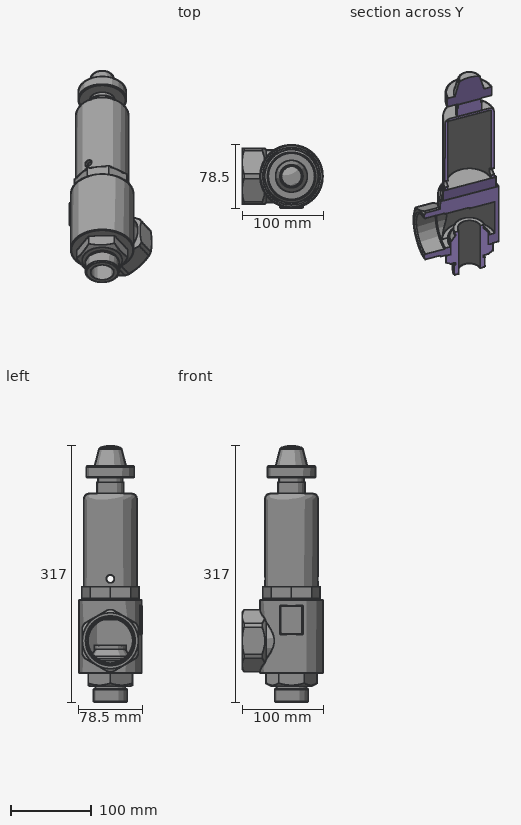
import cadquery as cq
import math


HEX_SIDES = 6
CHAMFER_ANGLE = 45

THREAD_RADIUS = 21.0
THREAD_TOP = 16.8
THREAD_BOTTOM_CHAMFER = 1.5
THREAD_TOP_CHAMFER = 1.0
UNDERCUT_RADIUS = 18.7
INLET_HEX_RADIUS = 31.7
INLET_HEX_BOTTOM = 19.5
INLET_HEX_FACE_RADIUS = 24.7
HEX_BEVEL_ANGLE = 30
SHANK_RADIUS = 25.5
COLLAR_RADIUS = 27.0
COLLAR_TOP = 54.0
SEAT_CONE_BOTTOM = 56.7
SEAT_CONE_BOTTOM_RADIUS = 24.5
SEAT_CONE_TOP_RADIUS = 18.5
SEAT_LIP_BOTTOM = 65.5
SEAT_LIP_RADIUS = 19.5
SEAT_TOP = 70.5
INLET_BORE_RADIUS = 14.3

HOUSING_RADIUS = 39.0
HOUSING_BOTTOM = 35.8
HOUSING_TOP = 126.8
HOUSING_CHAMFER = 1.0
CAVITY_RADIUS = 33.5
CAVITY_BOTTOM = 51.7
CAVITY_TOP = 102.0

OUTLET_Z = 76.0
OUTLET_END_X = -61.0
OUTLET_HEX_BACK_X = -31.0
OUTLET_HEX_FLATS = 69.0
OUTLET_CORNER_RADIUS = 38.5
OUTLET_FACE_RADIUS = 34.5
OUTLET_NECK_RADIUS = 32.5
OUTLET_FRONT_BEVEL = 2.2
OUTLET_BACK_BEVEL = 3.2
OUTLET_BACK_CHAMFER = OUTLET_FACE_RADIUS - OUTLET_NECK_RADIUS
OUTLET_BORE_RADIUS = 29.0
OUTLET_BORE_DEPTH = 28.5
OUTLET_BORE_CHAMFER = 2.0
OUTLET_PASSAGE_RADIUS = 27.5

PLATE_WIDTH = 28.5
PLATE_BOTTOM = 83.7
PLATE_TOP = 119.8
PLATE_FRONT_Y = -39.5
PLATE_CORNER_RADIUS = 1.5
PLATE_EDGE_CHAMFER = 1.3

NUT_RADIUS = 35.5
NUT_SIDES = 8
NUT_COLLAR_HEIGHT = 2.0
NUT_TOP = 143.0

BONNET_RADIUS = 33.0
BONNET_TOP = 258.0
BONNET_FILLET = 7.3
BONNET_WALL = 4.5
VENT_RADIUS = 4.8
VENT_Z = 152.5

SPINDLE_RADIUS = 16.8
SPINDLE_STEP_Z = 271.7
SPINDLE_END_RADIUS = 15.5

KNOB_BOTTOM = 277.5
KNOB_TOP = 317.0
KNOB_FLANGE_RADIUS = 29.8
KNOB_FLANGE_TOP = 292.0
KNOB_FLANGE_CHAMFER = 1.3
KNOB_CONE_BASE_RADIUS = 19.5
KNOB_CONE_TOP_RADIUS = 14.3
KNOB_CONE_TOP = 312.5
KNOB_DOME_RADIUS = 12.5
KNOB_DOME_BASE = 314.8


def cylinder(radius, bottom, top):
    """Upright cylinder on the valve axis."""
    return cq.Workplane("XY").workplane(offset=bottom).circle(radius).extrude(top - bottom)


def outlet_cylinder(radius, start_x, end_x):
    """Cylinder along the outlet axis."""
    plane = cq.Workplane("YZ", origin=(start_x, 0, OUTLET_Z))
    return plane.circle(radius).extrude(end_x - start_x)


def revolve_about_z(profile):
    """Full turn of an (X, Z) outline about the valve axis."""
    return profile.close().revolve(360, (0, 0, 0), (0, 1, 0))


def make_inlet():
    hex_rise = (INLET_HEX_RADIUS - INLET_HEX_FACE_RADIUS) * math.tan(math.radians(HEX_BEVEL_ANGLE))
    bevel_top = INLET_HEX_BOTTOM + hex_rise

    hexagon = (
        cq.Workplane("XY")
        .workplane(offset=INLET_HEX_BOTTOM)
        .polygon(HEX_SIDES, 2 * INLET_HEX_RADIUS)
        .extrude(HOUSING_BOTTOM - INLET_HEX_BOTTOM)
    )
    bevel = revolve_about_z(
        cq.Workplane("XZ")
        .moveTo(0, INLET_HEX_BOTTOM)
        .lineTo(-INLET_HEX_FACE_RADIUS, INLET_HEX_BOTTOM)
        .lineTo(-INLET_HEX_RADIUS, bevel_top)
        .lineTo(-INLET_HEX_RADIUS, HOUSING_BOTTOM)
        .lineTo(0, HOUSING_BOTTOM)
    )
    hexagon = hexagon.intersect(bevel)

    thread = cylinder(THREAD_RADIUS, 0, THREAD_TOP)
    thread = thread.faces("<Z").chamfer(THREAD_BOTTOM_CHAMFER)
    thread = thread.faces(">Z").chamfer(THREAD_TOP_CHAMFER)
    undercut = cylinder(UNDERCUT_RADIUS, THREAD_TOP, INLET_HEX_BOTTOM)

    seat = revolve_about_z(
        cq.Workplane("XZ")
        .moveTo(0, HOUSING_BOTTOM)
        .lineTo(-SHANK_RADIUS, HOUSING_BOTTOM)
        .lineTo(-SHANK_RADIUS, CAVITY_BOTTOM)
        .lineTo(-COLLAR_RADIUS, CAVITY_BOTTOM)
        .lineTo(-COLLAR_RADIUS, COLLAR_TOP)
        .lineTo(-SHANK_RADIUS, COLLAR_TOP)
        .lineTo(-SHANK_RADIUS, SEAT_CONE_BOTTOM)
        .lineTo(-SEAT_CONE_BOTTOM_RADIUS, SEAT_CONE_BOTTOM)
        .lineTo(-SEAT_CONE_TOP_RADIUS, SEAT_LIP_BOTTOM)
        .lineTo(-SEAT_LIP_RADIUS, SEAT_LIP_BOTTOM)
        .lineTo(-SEAT_LIP_RADIUS, SEAT_TOP)
        .lineTo(0, SEAT_TOP)
    )
    bore = cylinder(INLET_BORE_RADIUS, 0, SEAT_TOP)
    return thread.union(undercut).union(hexagon).union(seat).cut(bore)


def make_outlet_hexagon():
    """Hexagon with flats on +Y and -Y, its corners rounded and bevelled at both ends."""
    length = OUTLET_HEX_BACK_X - OUTLET_END_X
    back_face_x = OUTLET_HEX_BACK_X - OUTLET_BACK_CHAMFER
    corner_diameter = OUTLET_HEX_FLATS / math.cos(math.pi / HEX_SIDES)
    hexagon = (
        cq.Workplane("YZ", origin=(OUTLET_END_X, 0, OUTLET_Z))
        .transformed(rotate=(0, 0, 90))
        .polygon(HEX_SIDES, corner_diameter)
        .extrude(length)
    )
    envelope = (
        cq.Workplane("XY", origin=(0, 0, OUTLET_Z))
        .moveTo(OUTLET_END_X, 0)
        .lineTo(OUTLET_END_X, OUTLET_FACE_RADIUS)
        .lineTo(OUTLET_END_X + OUTLET_FRONT_BEVEL, OUTLET_CORNER_RADIUS)
        .lineTo(back_face_x - OUTLET_BACK_BEVEL, OUTLET_CORNER_RADIUS)
        .lineTo(back_face_x, OUTLET_FACE_RADIUS)
        .lineTo(OUTLET_HEX_BACK_X, OUTLET_NECK_RADIUS)
        .lineTo(OUTLET_HEX_BACK_X, 0)
        .close()
        .revolve(360, (0, 0, 0), (1, 0, 0))
    )
    return hexagon.intersect(envelope)


def make_outlet_bore():
    """Outlet bore with a chamfered mouth, and the narrower passage to the cavity."""
    bore_end_x = OUTLET_END_X + OUTLET_BORE_DEPTH
    mouth_radius = OUTLET_BORE_RADIUS + OUTLET_BORE_CHAMFER
    bore = outlet_cylinder(OUTLET_BORE_RADIUS, OUTLET_END_X, bore_end_x)
    bore = bore.faces(">X").chamfer(OUTLET_BORE_RADIUS - OUTLET_PASSAGE_RADIUS)
    mouth = (
        cq.Workplane("YZ", origin=(OUTLET_END_X, 0, OUTLET_Z))
        .circle(mouth_radius)
        .extrude(OUTLET_BORE_CHAMFER, taper=CHAMFER_ANGLE)
    )
    passage = outlet_cylinder(OUTLET_PASSAGE_RADIUS, bore_end_x, 0)
    return bore.union(mouth).union(passage)


def make_name_plate():
    """Flat plate that stands out of the housing's front."""
    height = PLATE_TOP - PLATE_BOTTOM
    plate = (
        cq.Workplane("XZ", origin=(0, PLATE_FRONT_Y, (PLATE_BOTTOM + PLATE_TOP) / 2))
        .rect(PLATE_WIDTH, height)
        .extrude(PLATE_FRONT_Y + CAVITY_RADIUS)
    )
    plate = plate.edges("|Y").fillet(PLATE_CORNER_RADIUS)
    return plate.faces("<Y").chamfer(PLATE_EDGE_CHAMFER)


def make_housing():
    barrel = cylinder(HOUSING_RADIUS, HOUSING_BOTTOM, HOUSING_TOP)
    barrel = barrel.faces("<Z or >Z").chamfer(HOUSING_CHAMFER)
    neck = outlet_cylinder(OUTLET_NECK_RADIUS, OUTLET_HEX_BACK_X, 0)
    cavity = cylinder(CAVITY_RADIUS, CAVITY_BOTTOM, CAVITY_TOP)
    shank_hole = cylinder(SHANK_RADIUS, HOUSING_BOTTOM, CAVITY_BOTTOM)
    outside = barrel.union(neck).union(make_outlet_hexagon()).union(make_name_plate())
    return outside.cut(cavity).cut(shank_hole).cut(make_outlet_bore())


def make_bonnet_nut():
    """Octagon with corners on the X and Y axes, on a round collar."""
    collar_top = HOUSING_TOP + NUT_COLLAR_HEIGHT
    collar = cylinder(NUT_RADIUS, HOUSING_TOP, collar_top)
    octagon = (
        cq.Workplane("XY")
        .workplane(offset=collar_top)
        .polygon(NUT_SIDES, 2 * NUT_RADIUS)
        .extrude(NUT_TOP - collar_top)
    )
    return collar.union(octagon)


def make_bonnet():
    """Hollow sleeve with a rounded top and a vent hole through both walls."""
    bonnet = cylinder(BONNET_RADIUS, NUT_TOP, BONNET_TOP).faces(">Z").edges().fillet(BONNET_FILLET)
    vent = (
        cq.Workplane("YZ", origin=(0, 0, VENT_Z))
        .circle(VENT_RADIUS)
        .extrude(BONNET_RADIUS, both=True)
    )
    spring_space = cylinder(BONNET_RADIUS - BONNET_WALL, NUT_TOP, BONNET_TOP - BONNET_WALL)
    return bonnet.cut(spring_space).cut(vent)


def make_spindle():
    lower = cylinder(SPINDLE_RADIUS, BONNET_TOP, SPINDLE_STEP_Z)
    upper = cylinder(SPINDLE_END_RADIUS, SPINDLE_STEP_Z, KNOB_BOTTOM)
    return lower.union(upper)


def make_knob():
    """Round flange with a tapered, domed grip."""
    flange = cylinder(KNOB_FLANGE_RADIUS, KNOB_BOTTOM, KNOB_FLANGE_TOP)
    flange = flange.faces("<Z or >Z").chamfer(KNOB_FLANGE_CHAMFER)
    dome_rise = KNOB_TOP - KNOB_DOME_BASE
    dome_sphere = (KNOB_DOME_RADIUS**2 + dome_rise**2) / (2 * dome_rise)
    mid_radius = KNOB_DOME_RADIUS / 2
    mid_z = KNOB_TOP - dome_sphere + math.sqrt(dome_sphere**2 - mid_radius**2)
    grip = revolve_about_z(
        cq.Workplane("XZ")
        .moveTo(0, KNOB_FLANGE_TOP)
        .lineTo(KNOB_CONE_BASE_RADIUS, KNOB_FLANGE_TOP)
        .lineTo(KNOB_CONE_TOP_RADIUS, KNOB_CONE_TOP)
        .lineTo(KNOB_DOME_RADIUS, KNOB_DOME_BASE)
        .threePointArc((mid_radius, mid_z), (0, KNOB_TOP))
    )
    return flange.union(grip)


inlet = make_inlet()
housing = make_housing()
bonnet_nut = make_bonnet_nut()
bonnet = make_bonnet()
spindle = make_spindle()
knob = make_knob()

result = cq.Compound.makeCompound(
    [inlet.val(), housing.val(), bonnet_nut.val(), bonnet.val(), spindle.val(), knob.val()]
)